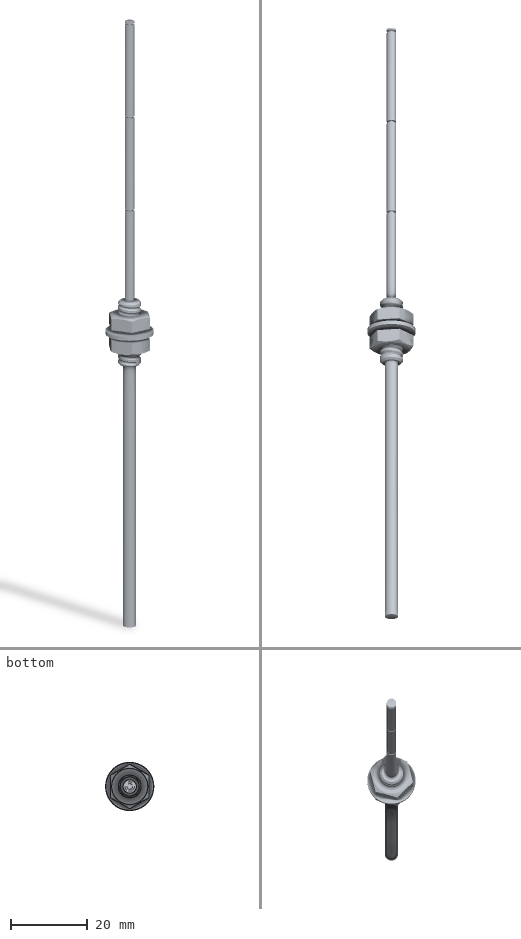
import cadquery as cq
import math


TOTAL_LENGTH = 165.2
END_PLUG_LENGTH = 2.0
TUBE_LENGTH = 69.4
ROD_COUNT = 3
ROD_LENGTH = 25.5
tube_top = END_PLUG_LENGTH + TUBE_LENGTH
bushing_bottom = tube_top
bushing_top = TOTAL_LENGTH - ROD_COUNT * ROD_LENGTH

TUBE_DIAMETER = 3.5
ROD_DIAMETER = 2.5
GROOVE_FROM_TOP = 0.5
GROOVE_WIDTH = 0.46
GROOVE_DEPTH = 0.5

BUSHING_DIAMETER = 6.0
BUSHING_CHAMFER = 0.5
FLANGE_DIAMETER = 12.5
FLANGE_THICKNESS = 1.0
FLANGE_BOTTOM = 79.8
THREAD_PITCH = 1.5
THREAD_DEPTH = 0.41
THREAD_ROOT_WIDTH = 0.2
THREAD_MOUTH_WIDTH = 1.0
THREAD_END_MARGIN = 1.0
THREAD_CUTTER_OVERHANG = 0.03

NUT_ACROSS_FLATS = 10.0
NUT_HEIGHT = 3.5
NUT_GAP = 1.0
NUT_FACE_DIAMETER = 9.5
NUT_CHAMFER_HEIGHT = 0.5
HALF_HEXAGON_STEP = math.pi / 6


def cylinder(diameter, bottom, height):
    return cq.Workplane("XY").workplane(offset=bottom).circle(diameter / 2).extrude(height)


def make_end_plug():
    return cylinder(TUBE_DIAMETER, 0, END_PLUG_LENGTH)


def make_tube():
    return cylinder(TUBE_DIAMETER, END_PLUG_LENGTH, TUBE_LENGTH)


def make_rod(bottom):
    """Rod with a ring groove just below its top end."""
    rod = cylinder(ROD_DIAMETER, bottom, ROD_LENGTH)
    groove_bottom = bottom + ROD_LENGTH - GROOVE_FROM_TOP - GROOVE_WIDTH
    ring = cylinder(ROD_DIAMETER, groove_bottom, GROOVE_WIDTH)
    core = cylinder(ROD_DIAMETER - 2 * GROOVE_DEPTH, groove_bottom, GROOVE_WIDTH)
    return rod.cut(ring.cut(core))


def make_thread_groove():
    """Left-handed helical groove that stops short of both ends of the bushing."""
    crest_radius = BUSHING_DIAMETER / 2
    root_radius = crest_radius - THREAD_DEPTH
    cutter_radius = crest_radius + THREAD_CUTTER_OVERHANG
    start = bushing_bottom + THREAD_END_MARGIN
    height = bushing_top - bushing_bottom - 2 * THREAD_END_MARGIN
    helix = cq.Wire.makeHelix(THREAD_PITCH, height, crest_radius, cq.Vector(0, 0, start), lefthand=True)
    return (
        cq.Workplane("XZ")
        .moveTo(root_radius, start - THREAD_ROOT_WIDTH / 2)
        .lineTo(root_radius, start + THREAD_ROOT_WIDTH / 2)
        .lineTo(cutter_radius, start + THREAD_MOUTH_WIDTH / 2)
        .lineTo(cutter_radius, start - THREAD_MOUTH_WIDTH / 2)
        .close()
        .sweep(cq.Workplane(helix), isFrenet=True)
    )


def make_bushing():
    """Threaded bushing with a round flange that fills the thread where it crosses it."""
    body = cylinder(BUSHING_DIAMETER, bushing_bottom, bushing_top - bushing_bottom)
    body = body.faces("<Z or >Z").chamfer(BUSHING_CHAMFER)
    body = body.rotate((0, 0, 0), (0, 0, 1), 90)
    body = body.cut(make_thread_groove())
    return body.union(cylinder(FLANGE_DIAMETER, FLANGE_BOTTOM, FLANGE_THICKNESS))


def make_nut(inner_face, points_up):
    """Hexagonal nut with its flat face at inner_face and its outer corners chamfered."""
    corner_radius = NUT_ACROSS_FLATS / 2 / math.cos(HALF_HEXAGON_STEP)
    face_radius = NUT_FACE_DIAMETER / 2
    hexagon = (
        cq.Workplane("XY")
        .polygon(6, 2 * corner_radius)
        .extrude(NUT_HEIGHT)
        .rotate((0, 0, 0), (0, 0, 1), math.degrees(HALF_HEXAGON_STEP))
    )
    chamfered_envelope = (
        cq.Workplane("XZ")
        .lineTo(corner_radius, 0)
        .lineTo(corner_radius, NUT_HEIGHT - NUT_CHAMFER_HEIGHT)
        .lineTo(face_radius, NUT_HEIGHT)
        .lineTo(0, NUT_HEIGHT)
        .close()
        .revolve(360, (0, 0), (0, 1))
    )
    nut = hexagon.intersect(chamfered_envelope)
    nut = nut.cut(cylinder(BUSHING_DIAMETER, 0, NUT_HEIGHT))
    if not points_up:
        nut = nut.mirror("XY")
    return nut.translate((0, 0, inner_face))


end_plug = make_end_plug()
tube = make_tube()
bushing = make_bushing()
lower_nut = make_nut(FLANGE_BOTTOM - NUT_GAP, points_up=False)
upper_nut = make_nut(FLANGE_BOTTOM + FLANGE_THICKNESS + NUT_GAP, points_up=True)
rods = [make_rod(bushing_top + i * ROD_LENGTH) for i in range(ROD_COUNT)]

bodies = [end_plug, tube, bushing, lower_nut, upper_nut, *rods]
result = cq.Compound.makeCompound([body.solids().val() for body in bodies])